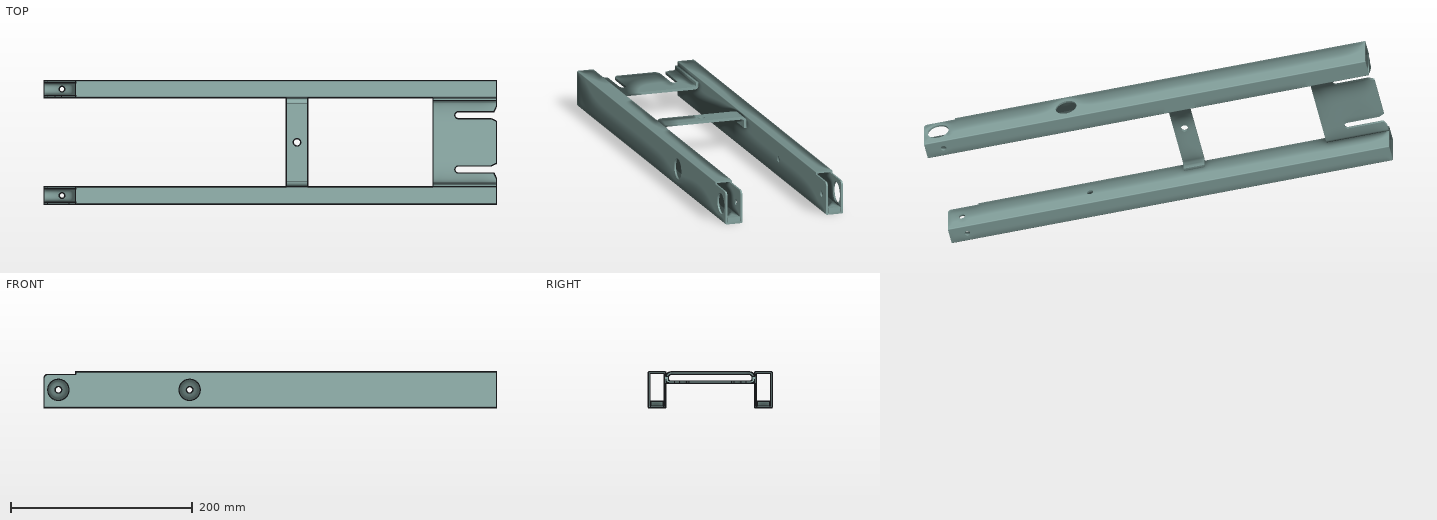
import cadquery as cq

LENGTH = 500.0
WIDTH = 137.0
HEIGHT = 40.0

RAIL_WIDTH = 19.5
RAIL_WALL = 2.0
RAIL_EDGE_RADIUS = 1.0
RAIL_Y = (WIDTH - RAIL_WIDTH) / 2

FRONT_OPENING_LENGTH = 35.0
FRONT_WALL_TOP = 37.0
FRONT_CORNER_RADIUS = 4.0

BLOCK_LENGTH = 40.0
BLOCK_WIDTH = 14.0
BLOCK_TOP = 7.5
BLOCK_HOLE_X = BLOCK_LENGTH / 2
BLOCK_HOLE_DIAMETER = 6.0

SIDE_HOLE_X = (16.0, 161.0)
SIDE_HOLE_Z = HEIGHT / 2
SIDE_HOLE_DIAMETER = 7.0
ACCESS_HOLE_DIAMETER = 23.5

SPAN = WIDTH - 2 * RAIL_WIDTH
CROSS_BOTTOM = 27.0
CROSS_THICKNESS = 3.0

STRAP_X = 279.5
STRAP_LENGTH = 24.0
STRAP_BEND_INNER = 3.0
STRAP_HOLE_DIAMETER = 8.0

PLATE_LENGTH = 70.5
PLATE_WALL_TOP = 35.0
PLATE_BEND_INNER = 1.5
SLOT_Y = 30.0
SLOT_WIDTH = 7.5
SLOT_LENGTH = 46.0
MOUTH_CHAMFER_LONG = 6.0
MOUTH_CHAMFER_SHORT = 3.0


def bar(x_start, x_end, y_center, width, z_bottom, z_top):
    """Box along X given by its ends, its middle in Y and its Z range."""
    box = cq.Workplane("XY").box(
        x_end - x_start, width, z_top - z_bottom, centered=(False, True, False)
    )
    return box.translate((x_start, y_center, z_bottom))


def upright_hole(x, y, diameter):
    """Cutter along Z through the full height."""
    return cq.Workplane("XY").center(x, y).circle(diameter / 2).extrude(HEIGHT)


def side_hole(x, diameter, y_start, depth):
    """Cutter along +Y from y_start."""
    hole = cq.Workplane("XZ").center(x, SIDE_HOLE_Z).circle(diameter / 2).extrude(-depth)
    return hole.translate((0, y_start, 0))


def near_rail():
    """Rail on the -Y side."""
    rail = bar(0, LENGTH, -RAIL_Y, RAIL_WIDTH, 0, HEIGHT).edges("|X").fillet(RAIL_EDGE_RADIUS)
    bore_width = RAIL_WIDTH - 2 * RAIL_WALL
    rail = rail.cut(bar(0, LENGTH, -RAIL_Y, bore_width, RAIL_WALL, HEIGHT - RAIL_WALL))
    rail = rail.cut(bar(0, FRONT_OPENING_LENGTH, -RAIL_Y, RAIL_WIDTH, FRONT_WALL_TOP, HEIGHT))
    rail = rail.edges("|Y").edges("<X").edges(">Z").fillet(FRONT_CORNER_RADIUS)
    rail = rail.union(bar(0, BLOCK_LENGTH, -RAIL_Y, BLOCK_WIDTH, RAIL_WALL, BLOCK_TOP))
    outer_face_y = -WIDTH / 2
    for x in SIDE_HOLE_X:
        rail = rail.cut(side_hole(x, SIDE_HOLE_DIAMETER, outer_face_y, RAIL_WIDTH))
        rail = rail.cut(side_hole(x, ACCESS_HOLE_DIAMETER, outer_face_y, RAIL_WALL))
    return rail.cut(upright_hole(BLOCK_HOLE_X, -RAIL_Y, BLOCK_HOLE_DIAMETER))


def bent_channel(x_start, x_end, z_top, web_side, bend_inner):
    """U-shaped sheet filling the span, with its web at the bottom ("<Z") or the top (">Z")."""
    outside = bar(x_start, x_end, 0, SPAN, CROSS_BOTTOM, z_top)
    outside = outside.faces(web_side).edges("|X").fillet(bend_inner + CROSS_THICKNESS)
    shift = CROSS_THICKNESS if web_side == "<Z" else -CROSS_THICKNESS
    inner_width = SPAN - 2 * CROSS_THICKNESS
    inside = bar(x_start, x_end, 0, inner_width, CROSS_BOTTOM + shift, z_top + shift)
    inside = inside.faces(web_side).edges("|X").fillet(bend_inner)
    return outside.cut(inside)


def strap():
    """Cross strap with its legs turned down and a hole in its middle."""
    x_start = STRAP_X - STRAP_LENGTH / 2
    sheet = bent_channel(x_start, x_start + STRAP_LENGTH, HEIGHT, ">Z", STRAP_BEND_INNER)
    return sheet.cut(upright_hole(STRAP_X, 0, STRAP_HOLE_DIAMETER))


def rear_slot():
    """Cutter for the slot on the +Y side: round inner end, mouth widened by unequal chamfers."""
    inner_edge = SLOT_Y - SLOT_WIDTH / 2
    outer_edge = SLOT_Y + SLOT_WIDTH / 2
    inner_end = LENGTH - SLOT_LENGTH
    arc_start = inner_end + SLOT_WIDTH / 2
    outline = (
        cq.Workplane("XY")
        .moveTo(arc_start, inner_edge)
        .lineTo(LENGTH - MOUTH_CHAMFER_LONG, inner_edge)
        .lineTo(LENGTH, inner_edge - MOUTH_CHAMFER_SHORT)
        .lineTo(LENGTH, outer_edge + MOUTH_CHAMFER_LONG)
        .lineTo(LENGTH - MOUTH_CHAMFER_SHORT, outer_edge)
        .lineTo(arc_start, outer_edge)
        .threePointArc((inner_end, SLOT_Y), (arc_start, inner_edge))
        .close()
    )
    return outline.extrude(HEIGHT)


def rear_plate():
    """Plate with its legs turned up and two slots open at the rear."""
    plate = bent_channel(LENGTH - PLATE_LENGTH, LENGTH, PLATE_WALL_TOP, "<Z", PLATE_BEND_INNER)
    slot = rear_slot()
    return plate.cut(slot).cut(slot.mirror("XZ"))


rail = near_rail()
result = rail.union(rail.mirror("XZ")).union(strap()).union(rear_plate())